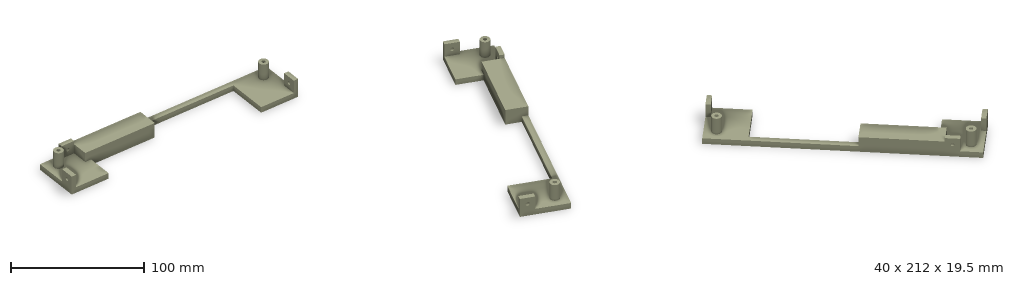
import cadquery as cq

length = 212.0
width = 40.0
plate_thickness = 5.0
pad_length = 34.5
rail_width = 5.0

block_width = 18.0
block_length = 65.0
block_start = 29.0
block_top = 13.4

tab_thickness = 4.0
tab_top = 16.5
end_tab_width = 12.0
side_tab_length = 11.7
end_hole_diameter = 3.2
side_hole_diameter = 2.8
tab_hole_height = (plate_thickness + tab_top) / 2

post_diameter = 8.0
post_bore_diameter = 3.2
post_inset = 10.0
post_top = 19.5


def corner_box(x, y, z, size_x, size_y, size_z):
    """Box whose lowest corner is at (x, y, z)."""
    return cq.Workplane("XY").box(size_x, size_y, size_z, centered=False).translate((x, y, z))


def base_plate():
    """Narrow rail joining a wide pad at each end."""
    plate = corner_box(0, 0, 0, rail_width, length, plate_thickness)
    for pad_start in (0, length - pad_length):
        plate = plate.union(corner_box(0, pad_start, 0, width, pad_length, plate_thickness))
    return plate


def end_tab(y_start):
    """Upright tab at the +X corner of a pad, with a hole along Y."""
    x_start = width - end_tab_width
    tab = corner_box(x_start, y_start, 0, end_tab_width, tab_thickness, tab_top)
    hole = (
        cq.Workplane("XZ", origin=(width - end_tab_width / 2, y_start, tab_hole_height))
        .circle(end_hole_diameter / 2)
        .extrude(-tab_thickness)
    )
    return tab.cut(hole)


def side_tab():
    """Upright tab on the -X edge, touching the block, with a hole along X."""
    y_start = block_start - side_tab_length
    tab = corner_box(0, y_start, 0, tab_thickness, side_tab_length, tab_top)
    hole = (
        cq.Workplane("YZ", origin=(0, y_start + side_tab_length / 2, tab_hole_height))
        .circle(side_hole_diameter / 2)
        .extrude(tab_thickness)
    )
    return tab.cut(hole)


def post(y_center):
    """Hollow post standing on a pad; its bore stops at the plate."""
    return (
        cq.Workplane("XY", origin=(post_inset, y_center, plate_thickness))
        .circle(post_diameter / 2)
        .circle(post_bore_diameter / 2)
        .extrude(post_top - plate_thickness)
    )


result = base_plate()
result = result.union(corner_box(0, block_start, 0, block_width, block_length, block_top))
result = result.union(side_tab())
for tab_start in (0, length - tab_thickness):
    result = result.union(end_tab(tab_start))
for post_center in (post_inset, length - post_inset):
    result = result.union(post(post_center))